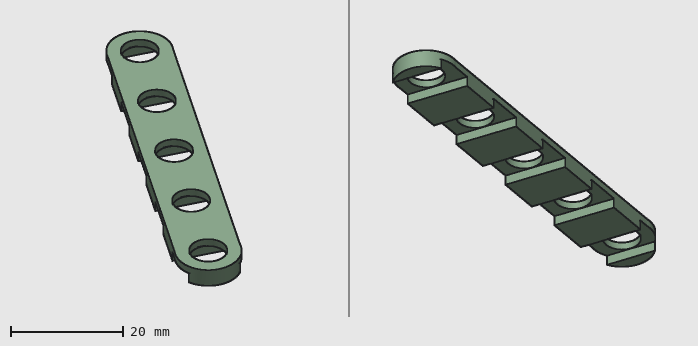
import cadquery as cq

length_x = 73.1
length_y = 19.7
height = 3.5

end_radius = 6.0
hole_diameter = 6.8
hole_count = 5
channel_width = 7.0
channel_depth = 2.0

span_x = length_x - 2 * end_radius
span_y = length_y - 2 * end_radius

hole_centres = []
for index in range(hole_count):
    offset = index / (hole_count - 1) - 0.5
    hole_centres.append((offset * span_x, -offset * span_y))


def make_bar():
    """Sheared web between two round ends; its long edges start at the Y extremes of the end circles."""
    end_centres = [hole_centres[0], hole_centres[-1]]
    (left_x, left_y), (right_x, right_y) = end_centres
    web = (
        cq.Workplane("XY")
        .moveTo(left_x, left_y - end_radius)
        .lineTo(right_x, right_y - end_radius)
        .lineTo(right_x, right_y + end_radius)
        .lineTo(left_x, left_y + end_radius)
        .close()
        .extrude(height)
    )
    ends = cq.Workplane("XY").pushPoints(end_centres).circle(end_radius).extrude(height)
    return web.union(ends)


def make_holes():
    """Round through holes, evenly spaced along the bar."""
    return (
        cq.Workplane("XY")
        .pushPoints(hole_centres)
        .circle(hole_diameter / 2)
        .extrude(height)
    )


def make_channels():
    """Underside channels parallel to Y, one across each hole."""
    return (
        cq.Workplane("XY")
        .pushPoints([(x, 0) for x, _ in hole_centres])
        .rect(channel_width, 2 * length_y)
        .extrude(channel_depth)
    )


result = make_bar().cut(make_holes()).cut(make_channels())